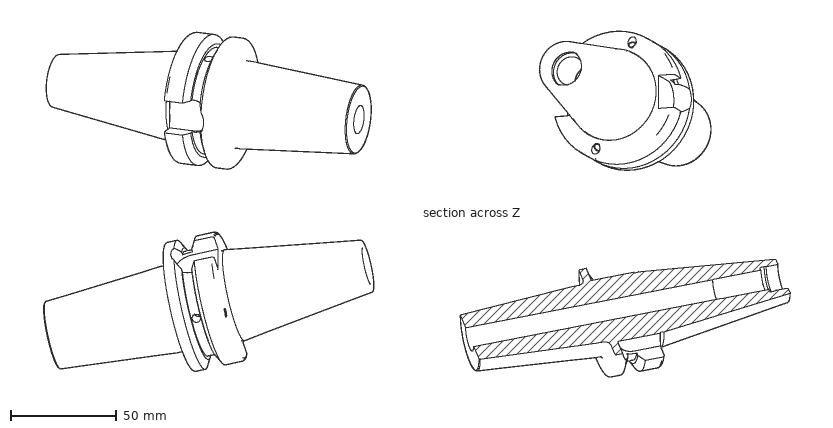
import cadquery as cq
import math


gauge_diameter = 44.45
taper_ratio = 7 / 24
shank_length = 65.4
shank_end_round = 0.75
neck_diameter = 44.0
neck_start = 0.9
neck_fillet = 0.5

flange_diameter = 63.0
flange_start = 2.0
flange_end = 27.0
flange_back_round = 1.3
flange_front_round = 0.9

groove_center = 16.6
groove_top_width = 9.8
groove_floor_width = 4.87
groove_floor_diameter = 51.2
groove_half_angle = 30.0

nose_length = 90.0
nose_diameter = 42.0
nose_fillet = 3.0
nose_tip_diameter = 33.0
nose_taper_angle = 4.5
nose_tip_chamfer = 0.5

mouth_round = 1.0
pilot_diameter = 17.0
pilot_depth = 9.0
relief_diameter = 17.6
relief_depth = 6.0
relief_cone_length = 0.9
thread_diameter = 13.84
thread_depth = 33.0
through_diameter = 13.5

slot_width = 16.1
slot_end = 23.0
slot_floor_radius = 22.6

coolant_diameter = 4.0
coolant_core_diameter = 3.24
coolant_pitch_radius = 27.0
coolant_tilt = 37.0
coolant_wide_depth = 2.0
coolant_roll = 20.0


def round_corner(path, corner, before, after):
    """Run the path to a square or nearly square corner and round it.

    The arc starts at corner + before and ends at corner + after.
    """
    pull = 1 - math.sqrt(0.5)
    start = (corner[0] + before[0], corner[1] + before[1])
    middle = (
        corner[0] + pull * (before[0] + after[0]),
        corner[1] + pull * (before[1] + after[1]),
    )
    end = (corner[0] + after[0], corner[1] + after[1])
    return path.lineTo(*start).threePointArc(middle, end)


def make_body():
    """Revolve the outer profile of shank, flange and nose about X."""
    gauge_radius = gauge_diameter / 2
    shank_end_radius = gauge_radius - shank_length * taper_ratio / 2
    flange_radius = flange_diameter / 2
    neck_radius = neck_diameter / 2
    nose_radius = nose_diameter / 2
    tip_radius = nose_tip_diameter / 2

    floor_radius = groove_floor_diameter / 2
    half_top = groove_top_width / 2
    half_floor = groove_floor_width / 2
    wall_drop = (half_top - half_floor) / math.tan(math.radians(groove_half_angle))
    wall_foot_radius = flange_radius - wall_drop

    nose_slope = math.tan(math.radians(nose_taper_angle))
    nose_taper_start = nose_length - (nose_radius - tip_radius) / nose_slope
    tip_chamfer_radius = tip_radius + nose_tip_chamfer * nose_slope

    path = cq.Workplane("XY").moveTo(-shank_length, 0)
    path = round_corner(
        path,
        (-shank_length, shank_end_radius),
        (0, -shank_end_round),
        (shank_end_round, shank_end_round * taper_ratio / 2),
    )
    path = path.lineTo(0, gauge_radius).lineTo(neck_start, neck_radius)
    path = round_corner(path, (flange_start, neck_radius), (-neck_fillet, 0), (0, neck_fillet))
    path = round_corner(
        path, (flange_start, flange_radius), (0, -flange_back_round), (flange_back_round, 0)
    )
    path = (
        path.lineTo(groove_center - half_top, flange_radius)
        .lineTo(groove_center - half_floor, wall_foot_radius)
        .lineTo(groove_center - half_floor, floor_radius)
        .lineTo(groove_center + half_floor, floor_radius)
        .lineTo(groove_center + half_floor, wall_foot_radius)
        .lineTo(groove_center + half_top, flange_radius)
    )
    path = round_corner(
        path, (flange_end, flange_radius), (-flange_front_round, 0), (0, -flange_front_round)
    )
    path = round_corner(path, (flange_end, nose_radius), (0, nose_fillet), (nose_fillet, 0))
    path = (
        path.lineTo(nose_taper_start, nose_radius)
        .lineTo(nose_length - nose_tip_chamfer, tip_chamfer_radius)
        .lineTo(nose_length, tip_chamfer_radius - nose_tip_chamfer)
        .lineTo(nose_length, 0)
        .close()
    )
    return path.revolve(360, (0, 0, 0), (1, 0, 0))


def make_bore():
    """Stepped bore: rounded mouth, pilot, thread relief and core, then a plain hole to the nose tip."""
    relief_radius = relief_diameter / 2
    pilot_radius = pilot_diameter / 2
    thread_radius = thread_diameter / 2
    through_radius = through_diameter / 2

    shank_end = -shank_length
    relief_start = shank_end + relief_depth
    pilot_end = shank_end + pilot_depth
    thread_end = shank_end + thread_depth

    path = cq.Workplane("XY").moveTo(shank_end, 0)
    path = round_corner(path, (shank_end, pilot_radius), (0, mouth_round), (mouth_round, 0))
    path = (
        path.lineTo(relief_start, pilot_radius)
        .lineTo(relief_start + relief_cone_length, relief_radius)
        .lineTo(pilot_end, relief_radius)
        .lineTo(pilot_end, thread_radius)
        .lineTo(thread_end, thread_radius)
        .lineTo(thread_end, through_radius)
        .lineTo(nose_length, through_radius)
        .lineTo(nose_length, 0)
        .close()
    )
    return path.revolve(360, (0, 0, 0), (1, 0, 0))


def make_drive_slot():
    """Round-ended slot on the +Y side, open towards the shank."""
    end_radius = slot_width / 2
    straight_end = slot_end - end_radius
    slot_depth = flange_diameter / 2 - slot_floor_radius
    return (
        cq.Workplane("XZ", origin=(0, slot_floor_radius, 0))
        .moveTo(flange_start, -end_radius)
        .lineTo(straight_end, -end_radius)
        .threePointArc((slot_end, 0), (straight_end, end_radius))
        .lineTo(flange_start, end_radius)
        .close()
        .extrude(-slot_depth)
    )


def make_coolant_holes():
    """Inclined stepped hole in the flange face that meets a radial hole from the groove, on +Z."""
    tilt = math.radians(coolant_tilt)
    direction = cq.Vector(math.cos(tilt), 0, -math.sin(tilt))
    entry = cq.Vector(flange_start, 0, coolant_pitch_radius)
    overrun = coolant_diameter
    start = entry - direction * overrun
    reach = groove_center - flange_start
    core_depth = reach / math.cos(tilt)
    meeting_radius = coolant_pitch_radius - reach * math.tan(tilt)

    def inclined(diameter, depth):
        return cq.Workplane(cq.Solid.makeCylinder(diameter / 2, overrun + depth, start, direction))

    wide = inclined(coolant_diameter, coolant_wide_depth)
    core = inclined(coolant_core_diameter, core_depth)
    radial = (
        cq.Workplane("XY", origin=(groove_center, 0, meeting_radius))
        .circle(coolant_diameter / 2)
        .extrude(flange_diameter / 2 - meeting_radius)
    )
    return wide.union(core).union(radial)


result = make_body().cut(make_bore())
for half_turn in (0, 180):
    slot = make_drive_slot().rotate((0, 0, 0), (1, 0, 0), half_turn)
    holes = make_coolant_holes().rotate((0, 0, 0), (1, 0, 0), coolant_roll + half_turn)
    result = result.cut(slot).cut(holes)